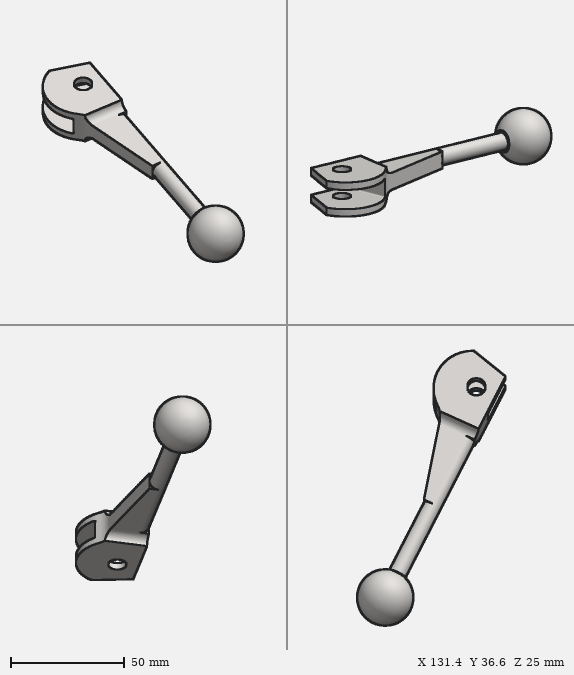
import cadquery as cq
import math


head_thickness = 16.0
pivot_diameter = 8.0
head_back_y = 9.5
head_back_left_x = -10.0
flank_angle = 15.0
cam_radius = 17.4
cam_center_x = 1.05
cam_bottom_y = -18.57
cam_center_y = cam_bottom_y + cam_radius
cam_end_x = 9.4
nose_radius = 20.0
head_end_x = 17.4

slot_width = 9.0
slot_floor_back_x = 7.7
slot_floor_radius = 0.75

rod_diameter = 8.0
rod_radius = rod_diameter / 2
rod_axis_y = head_back_y - rod_radius
neck_thickness = rod_diameter
neck_tip_x = 56.6
neck_tip_y = rod_axis_y - rod_radius
shoulder_radius = (head_thickness - neck_thickness) / 2
shoulder_end_x = head_end_x + shoulder_radius
nose_blend_radius = 10.0

ball_radius = 12.5
ball_center_x = 104.1
ball_flat_diameter = 10.0
ball_flat_distance = math.sqrt(ball_radius**2 - (ball_flat_diameter / 2) ** 2)

flank_slope = math.tan(math.radians(flank_angle))


def circle_exit(center, radius, start, direction):
    """Point where a ray from start finally leaves a circle."""
    length = math.hypot(*direction)
    unit_x = direction[0] / length
    unit_y = direction[1] / length
    to_center_x = center[0] - start[0]
    to_center_y = center[1] - start[1]
    along = to_center_x * unit_x + to_center_y * unit_y
    offset_squared = to_center_x**2 + to_center_y**2 - along**2
    distance = along + math.sqrt(radius**2 - offset_squared)
    return start[0] + distance * unit_x, start[1] + distance * unit_y


def neck_edge_y(x):
    """Y of the sloping lower edge of the neck at a given x."""
    return neck_tip_y - (neck_tip_x - x) * flank_slope


def make_profile():
    """Cam head and neck at full head thickness, with the nose blended into the neck."""
    cam_center = (cam_center_x, cam_center_y)
    head_back_left = (head_back_left_x, head_back_y)
    cam_start = circle_exit(cam_center, cam_radius, head_back_left, (-flank_slope, -1))
    cam_bottom = (cam_center_x, cam_bottom_y)

    cam_end = circle_exit(cam_center, cam_radius, (cam_end_x, cam_center_y), (0, -1))
    radius_ratio = nose_radius / cam_radius
    nose_center = (
        cam_end[0] + (cam_center_x - cam_end[0]) * radius_ratio,
        cam_end[1] + (cam_center_y - cam_end[1]) * radius_ratio,
    )
    neck_edge_start = (nose_center[0], neck_edge_y(nose_center[0]))
    nose_end = circle_exit(nose_center, nose_radius, neck_edge_start, (1, flank_slope))
    nose_middle_direction = (
        (cam_end[0] + nose_end[0]) / 2 - nose_center[0],
        (cam_end[1] + nose_end[1]) / 2 - nose_center[1],
    )
    nose_middle = circle_exit(nose_center, nose_radius, nose_center, nose_middle_direction)

    profile = (
        cq.Workplane("XY")
        .moveTo(*head_back_left)
        .lineTo(*cam_start)
        .threePointArc(cam_bottom, cam_end)
        .threePointArc(nose_middle, nose_end)
        .lineTo(neck_tip_x, neck_tip_y)
        .lineTo(neck_tip_x, rod_axis_y)
        .lineTo(shoulder_end_x, rod_axis_y)
        .lineTo(shoulder_end_x, head_back_y)
        .close()
        .extrude(head_thickness / 2, both=True)
    )
    blend_edge = cq.selectors.NearestToPointSelector((*nose_end, 0))
    return profile.edges("|Z").edges(blend_edge).fillet(nose_blend_radius)


def make_neck_relief(side):
    """Material removed beside the neck on one Z side, ending in a concave shoulder."""
    outer_z = side * head_thickness / 2
    inner_z = side * neck_thickness / 2
    diagonal = shoulder_radius * math.sqrt(0.5)
    arc_middle = (shoulder_end_x - diagonal, outer_z - side * diagonal)
    return (
        cq.Workplane("XZ")
        .moveTo(head_end_x, outer_z)
        .threePointArc(arc_middle, (shoulder_end_x, inner_z))
        .lineTo(neck_tip_x, inner_z)
        .lineTo(neck_tip_x, outer_z)
        .close()
        .extrude(2 * cam_radius, both=True)
    )


def make_fork_slot():
    """Slot between the fork plates, with a sloping floor rounded along both sides."""
    reach = 3 * cam_radius
    return (
        cq.Workplane("XY")
        .box(reach, 2 * reach, slot_width)
        .translate((-reach / 2, 0, 0))
        .edges(">X and |Y")
        .fillet(slot_floor_radius)
        .rotate((0, 0, 0), (0, 0, 1), flank_angle)
        .translate((slot_floor_back_x, head_back_y, 0))
    )


def make_pivot_hole():
    return cq.Workplane("XY").circle(pivot_diameter / 2).extrude(head_thickness, both=True)


def make_rod():
    """Rod from the shoulder to the middle of the ball."""
    return (
        cq.Workplane("YZ", origin=(head_end_x, rod_axis_y, 0))
        .circle(rod_radius)
        .extrude(ball_center_x - head_end_x)
    )


def make_ball():
    """Ball with a small flat where the rod enters."""
    ball = cq.Workplane("XY").sphere(ball_radius)
    flat_cut = (
        cq.Workplane("YZ", origin=(-ball_flat_distance, 0, 0))
        .rect(2 * ball_radius, 2 * ball_radius)
        .extrude(-ball_radius)
    )
    return ball.cut(flat_cut).translate((ball_center_x, rod_axis_y, 0))


lever = make_profile()
for side in (-1, 1):
    lever = lever.cut(make_neck_relief(side))
lever = lever.cut(make_fork_slot()).cut(make_pivot_hole())
result = lever.union(make_rod()).union(make_ball())